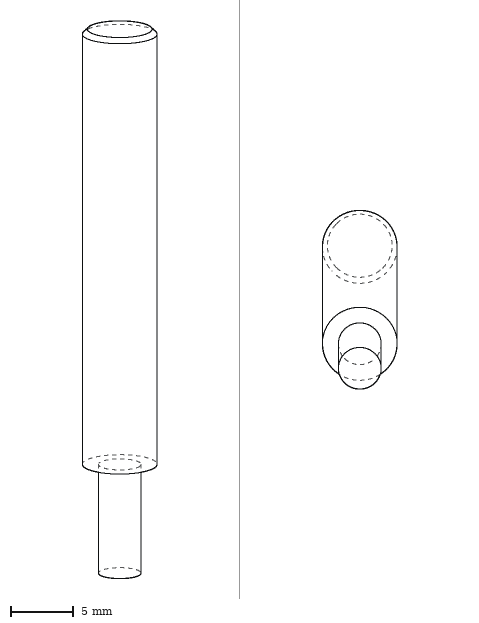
import cadquery as cq

total_length = 45.0
cable_length = 9.0
housing_diameter = 6.0
cable_diameter = 3.4
rim_chamfer = 0.4

housing_length = total_length - cable_length


def make_housing():
    """Upright cylinder, standing on the cable's top end, with a chamfered top rim."""
    cylinder = cq.Workplane("XY").circle(housing_diameter / 2).extrude(housing_length)
    return cylinder.faces(">Z").edges().chamfer(rim_chamfer)


def make_cable():
    """Plain round stub hanging below the housing and touching its bottom face."""
    return cq.Workplane("XY").circle(cable_diameter / 2).extrude(-cable_length)


housing = make_housing()
cable = make_cable()

result = cq.Compound.makeCompound([housing.val(), cable.val()])